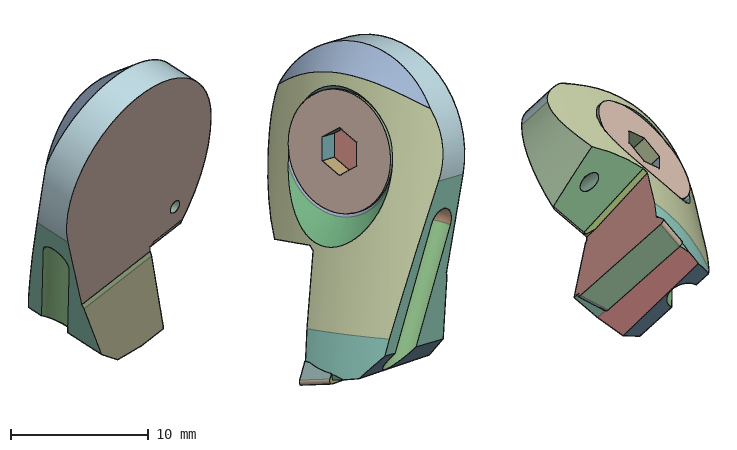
import cadquery as cq
import math


disc_radius = 15.6 / 2
flank_angle = 11.2
flank_bottom_z = -14.28
shoulder_radius = 12.9
shoulder_z = -8.6
rake_y = 1.21
front_limit = -11.15
back_limit = 2.97
lower_limit = -18.6

dome_radius = 12.65
dome_length = 74.37
dome_top_x = -4.65
dome_top_z = 5.8
dome_slope = 0.133
dome_break_z = -12.9
lower_dome_slope = 0.075
top_cone_z = -0.5

heel_top_z = -9.05
heel_bend_x = 0.15
heel_bend_z = -9.42
heel_tip_x = 1.35
heel_tip_z = -16.15

ceiling_slope = 0.25
ceiling_lip_run = 0.07
ceiling_lip_drop = 0.15
notch_chamfer = 0.35
coolant_diameter = 1
coolant_y = 3.9
coolant_z = -7.7
coolant_rise = 22

sole_tilt = 2
sole_edge_y = -3.35
sole_edge_z = -15.82
sole_relief = 0.15
toe_top_x = -7.35
toe_top_z = -15.87
toe_slope = 0.33

lip_end_y = -1.17
lip_relief = 7
lip_corner = 0.3
lip_front_x = -8.2
lip_front_z = -17.0
lip_back_x = 1.07
lip_root_front_x = -7.35
lip_root_z = -15.27
lip_root_back_x = 0.5

flute_diameter = 2.5
flute_top_x = -1.78
flute_top_z = -5.05
flute_lean = 11.2
flute_length = 14.87

screw_radius = 9.2 / 2
screw_face_x = -4.75
screw_floor_x = -2.48
seat_bevel_x = -4.5
seat_rim_radius = 4.83
scoop_x = -7.44
scoop_rate = 1.25
hex_flats = 3.07
hex_depth = 1.49

flank_tan = math.tan(math.radians(flank_angle))
flank_cos = math.cos(math.radians(flank_angle))
flank_sin = math.sin(math.radians(flank_angle))


def flank_y(z):
    """Y of the side flank, a tangent to the disc, at height z."""
    return -disc_radius / flank_cos - z * flank_tan


def lean_cylinder(crest_x, crest_z, slope):
    """Cylinder whose foremost line passes through the crest point with the given lean."""
    norm = math.hypot(1, slope)
    axis = cq.Vector(-slope / norm, 0, -1 / norm)
    inward = cq.Vector(1 / norm, 0, -slope / norm)
    start = cq.Vector(crest_x, 0, crest_z) + inward * dome_radius - axis * dome_length / 2
    return cq.Workplane(cq.Solid.makeCylinder(dome_radius, dome_length, start, axis))


def make_blank():
    """Outline of disc, shoulder and shank, extruded along X."""
    shoulder_centre_y = disc_radius - shoulder_radius
    shoulder_angle = math.asin(shoulder_z / shoulder_radius)

    def shoulder_point(angle):
        return (shoulder_centre_y + shoulder_radius * math.cos(angle), shoulder_radius * math.sin(angle))

    tangent = (-disc_radius * flank_cos, -disc_radius * flank_sin)
    flank_end_y = flank_y(flank_bottom_z)
    return (
        cq.Workplane("YZ", origin=(front_limit, 0, 0))
        .moveTo(*tangent)
        .threePointArc((0, disc_radius), (disc_radius, 0))
        .threePointArc(shoulder_point(shoulder_angle / 2), shoulder_point(shoulder_angle))
        .lineTo(rake_y, shoulder_z)
        .lineTo(rake_y, lower_limit)
        .lineTo(flank_end_y + flank_bottom_z - lower_limit, lower_limit)
        .lineTo(flank_end_y, flank_bottom_z)
        .close()
        .extrude(back_limit - front_limit)
    )


def back_profile():
    """Block that gives the flat back and the heel leaning backwards."""
    heel_slope = (heel_tip_x - heel_bend_x) / (heel_tip_z - heel_bend_z)
    heel_end_x = heel_bend_x + heel_slope * (lower_limit - heel_bend_z)
    return (
        cq.Workplane("XZ")
        .polyline([
            (front_limit, disc_radius), (0, disc_radius), (0, heel_top_z),
            (heel_bend_x, heel_bend_z), (heel_end_x, lower_limit), (front_limit, lower_limit),
        ])
        .close()
        .extrude(2 * disc_radius, both=True)
    )


def top_bevel():
    """Everything above Z = 0 outside a 45 degree cone about an axis parallel to X."""
    apex_x = dome_top_x - (dome_top_z - top_cone_z)
    size = 2 * disc_radius
    cone = cq.Solid.makeCone(0, size, size, cq.Vector(apex_x, 0, top_cone_z), cq.Vector(1, 0, 0))
    block = cq.Workplane("XY").box(-2 * front_limit, 2 * size, size, centered=(True, True, False))
    return block.cut(cq.Workplane(cone))


def notch():
    """Cut below the shoulder, with a sloping ceiling and a chamfered inner corner."""
    slope_end_z = shoulder_z + ceiling_lip_drop
    rise = ceiling_slope * (-ceiling_lip_run - front_limit)
    return (
        cq.Workplane("XZ", origin=(0, rake_y, 0))
        .polyline([
            (front_limit, slope_end_z + rise), (-ceiling_lip_run, slope_end_z),
            (0, shoulder_z), (back_limit, shoulder_z),
            (back_limit, lower_limit), (front_limit, lower_limit),
        ])
        .close()
        .extrude(-disc_radius)
        .faces("<Y")
        .edges("not (<X or >X or <Z)")
        .chamfer(notch_chamfer)
    )


def coolant_hole():
    """Inclined hole from the notch ceiling to the back face."""
    start_x = -ceiling_lip_run - (coolant_z - shoulder_z - ceiling_lip_drop) / ceiling_slope
    rise = math.radians(coolant_rise)
    axis = cq.Vector(math.cos(rise), 0, math.sin(rise))
    start = cq.Vector(start_x, coolant_y, coolant_z) - axis * coolant_diameter * 2
    length = -2 * start_x
    return cq.Workplane(cq.Solid.makeCylinder(coolant_diameter / 2, length, start, axis))


def sole_cut():
    """Material below the sole: relieved up to the lip, level beside it, tilted about Y."""
    level_z = sole_edge_z - sole_relief * (lip_end_y - sole_edge_y)
    side_y = -disc_radius
    side_z = sole_edge_z + sole_relief * (sole_edge_y - side_y)
    return (
        cq.Workplane("YZ", origin=(front_limit, 0, 0))
        .polyline([
            (side_y, side_z), (lip_end_y, level_z), (disc_radius, level_z),
            (disc_radius, 2 * lower_limit), (side_y, 2 * lower_limit),
        ])
        .close()
        .extrude(back_limit - front_limit)
        .rotate((0, 0, sole_edge_z), (0, 1, sole_edge_z), -sole_tilt)
    )


def toe_bevel():
    """Wedge in front of a steep plane that trims the toe beside the cutting lip."""
    drop = toe_top_z - lower_limit
    return (
        cq.Workplane("XZ")
        .polyline([
            (toe_top_x, toe_top_z), (toe_top_x + toe_slope * drop, lower_limit),
            (front_limit, lower_limit), (front_limit, toe_top_z),
        ])
        .close()
        .extrude(2 * disc_radius, both=True)
    )


def cutting_lip():
    """Bar along the sole, shrinking away from the cutting edge by the relief angle."""
    lip_back_z = lip_front_z + (lip_back_x - lip_front_x) * math.tan(math.radians(sole_tilt))
    return (
        cq.Workplane("XZ", origin=(0, rake_y, 0))
        .polyline([
            (lip_front_x, lip_front_z), (lip_back_x, lip_back_z),
            (lip_root_back_x, lip_root_z), (lip_root_front_x, lip_root_z),
        ])
        .close()
        .extrude(rake_y - lip_end_y, taper=lip_relief)
        .edges("(<X or >X) and (not |X)")
        .fillet(lip_corner)
    )


def flute():
    """Round-ended groove whose axis lies in the side flank."""
    lean = math.tan(math.radians(flute_lean))
    radius = flute_diameter / 2
    top = cq.Vector(flute_top_x, flank_y(flute_top_z), flute_top_z)
    rod = cq.Workplane(cq.Solid.makeCylinder(radius, flute_length, top, cq.Vector(-lean, flank_tan, -1)))
    return rod.union(cq.Workplane("XY", origin=top.toTuple()).sphere(radius))


def screw_seat():
    """Revolved pocket: straight bore, bevelled rim and wide conical scoop."""
    scoop_radius = seat_rim_radius + scoop_rate * (screw_face_x - scoop_x)
    return (
        cq.Workplane("XY")
        .polyline([
            (screw_floor_x, 0), (screw_floor_x, screw_radius), (seat_bevel_x, screw_radius),
            (screw_face_x, seat_rim_radius), (scoop_x, scoop_radius), (scoop_x, 0),
        ])
        .close()
        .revolve(360, (0, 0, 0), (1, 0, 0))
    )


def make_housing():
    break_x = dome_top_x + dome_slope * (dome_break_z - dome_top_z)
    body = make_blank().intersect(back_profile())
    body = body.intersect(lean_cylinder(dome_top_x, dome_top_z, dome_slope))
    body = body.intersect(lean_cylinder(break_x, dome_break_z, lower_dome_slope))
    body = body.cut(top_bevel()).cut(notch()).cut(coolant_hole())
    body = body.cut(sole_cut()).cut(toe_bevel()).cut(flute()).union(cutting_lip())
    return body.cut(screw_seat())


def make_screw():
    """Round screw head with a blind hexagon socket, corners up and down."""
    head = cq.Workplane("YZ", origin=(screw_face_x, 0, 0)).circle(screw_radius)
    head = head.extrude(screw_floor_x - screw_face_x)
    hex_corners = hex_flats / math.cos(math.radians(30))
    socket = cq.Workplane("YZ", origin=(screw_face_x, 0, 0)).polygon(6, hex_corners)
    socket = socket.extrude(hex_depth).rotate((0, 0, 0), (1, 0, 0), 90)
    return head.cut(socket)


housing = make_housing()
screw = make_screw()
result = cq.Compound.makeCompound([housing.val(), screw.val()])